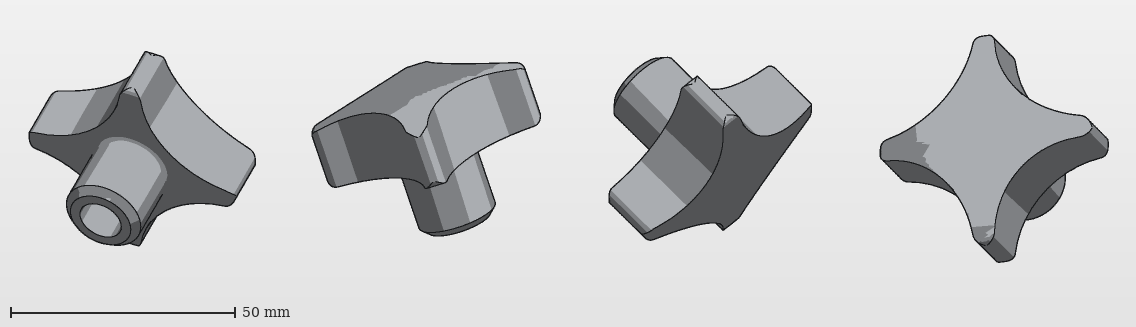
import cadquery as cq
import math


ARM_COUNT = 4
KNOB_RADIUS = 25.0
RIM_CLEARANCE = 0.005
HEAD_HEIGHT = 16.88
DOME_RADIUS = 94.0
TIP_RADIUS = 2.6
RIM_FILLET = 1.7
WAIST_RADIUS = 13.0

HUB_RADIUS = 9.0
HUB_LENGTH = 17.0
HUB_CHAMFER = 1.7
HUB_FILLET = 1.65

BORE_RADIUS = 5.0
BORE_DEPTH = 20.0
DRILL_POINT_ANGLE = 118.0


def polar(radius, angle):
    """Point at the given radius and angle (degrees) in a plane across the axis."""
    turn = math.radians(angle)
    return radius * math.cos(turn), radius * math.sin(turn)


def dome_height(radius):
    """Height of the domed surface above the underside at a distance from the axis."""
    return HEAD_HEIGHT - DOME_RADIUS + math.sqrt(DOME_RADIUS**2 - radius**2)


def make_head_blank():
    """Round, domed disc with its rim rounded on both sides."""
    rim_radius = KNOB_RADIUS + RIM_CLEARANCE
    mid_radius = rim_radius / 2
    blank = (
        cq.Workplane("XY")
        .lineTo(rim_radius, 0)
        .lineTo(rim_radius, dome_height(rim_radius))
        .threePointArc((mid_radius, dome_height(mid_radius)), (0, HEAD_HEIGHT))
        .close()
        .revolve(360, (0, 0), (0, 1))
    )
    return blank.edges("%CIRCLE").fillet(RIM_FILLET)


def make_star_prism():
    """Star outline: convex arm tips joined by tangent concave arcs between the arms."""
    arm_pitch = 360 / ARM_COUNT
    half_pitch = arm_pitch / 2
    tip_center_radius = KNOB_RADIUS - TIP_RADIUS

    reach = WAIST_RADIUS - TIP_RADIUS
    bisector_reach = tip_center_radius * math.cos(math.radians(half_pitch))
    scallop_center_radius = (tip_center_radius**2 - reach**2) / (2 * (bisector_reach - reach))
    scallop_radius = scallop_center_radius - WAIST_RADIUS

    scallop_x, scallop_y = polar(scallop_center_radius, half_pitch)
    share = TIP_RADIUS / (TIP_RADIUS + scallop_radius)
    tangent_x = tip_center_radius + share * (scallop_x - tip_center_radius)
    tangent_y = share * scallop_y
    tangent_radius = math.hypot(tangent_x, tangent_y)
    tangent_angle = math.degrees(math.atan2(tangent_y, tangent_x))

    outline = cq.Workplane("XZ").moveTo(*polar(tangent_radius, -tangent_angle))
    for arm in range(ARM_COUNT):
        arm_angle = arm * arm_pitch
        outline = outline.threePointArc(
            polar(KNOB_RADIUS, arm_angle),
            polar(tangent_radius, arm_angle + tangent_angle),
        )
        outline = outline.threePointArc(
            polar(WAIST_RADIUS, arm_angle + half_pitch),
            polar(tangent_radius, arm_angle + arm_pitch - tangent_angle),
        )
    return outline.close().extrude(-HEAD_HEIGHT)


def make_hub():
    """Hub with a chamfered end and a concave blend into the underside of the head."""
    blend_mid = HUB_FILLET * (1 - math.sqrt(0.5))
    overlap = HUB_FILLET
    blend_radius = HUB_RADIUS + HUB_FILLET
    return (
        cq.Workplane("XY")
        .moveTo(0, overlap)
        .lineTo(blend_radius, overlap)
        .lineTo(blend_radius, 0)
        .threePointArc((HUB_RADIUS + blend_mid, -blend_mid), (HUB_RADIUS, -HUB_FILLET))
        .lineTo(HUB_RADIUS, HUB_CHAMFER - HUB_LENGTH)
        .lineTo(HUB_RADIUS - HUB_CHAMFER, -HUB_LENGTH)
        .lineTo(0, -HUB_LENGTH)
        .close()
        .revolve(360, (0, 0), (0, 1))
    )


def make_bore():
    """Blind drilled bore with a conical bottom, entering from the hub end."""
    shoulder = BORE_DEPTH - HUB_LENGTH
    point_height = BORE_RADIUS / math.tan(math.radians(DRILL_POINT_ANGLE / 2))
    return (
        cq.Workplane("XY")
        .moveTo(0, -HUB_LENGTH)
        .lineTo(BORE_RADIUS, -HUB_LENGTH)
        .lineTo(BORE_RADIUS, shoulder)
        .lineTo(0, shoulder + point_height)
        .close()
        .revolve(360, (0, 0), (0, 1))
    )


head = make_head_blank().intersect(make_star_prism())
result = head.union(make_hub()).cut(make_bore())